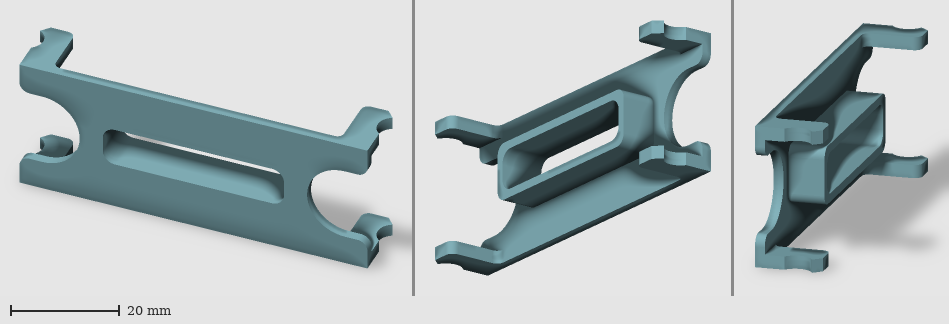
import cadquery as cq

overall_length = 70.0
depth = 12.75
height = 27.0

plate_length = 69.1
plate_thickness = 1.9

arm_width = 5.95
arm_thickness = 2.5
arm_corner_radius = 1.55
inner_fillet_radius = 1.3
hook_tip_y = 11.05
hook_top_inset = 1.5
groove_start_y = 5.7
groove_depth = 1.3

notch_width = 15.0
notch_depth = 12.0
notch_corner_radius = 2.0

slot_length = 36.0
slot_width = 7.9
slot_corner_radius = 2.45
collar_length = 39.0
collar_width = 11.1
collar_corner_radius = 2.0
collar_top_y = 8.8

tip_x = overall_length / 2
plate_end_x = plate_length / 2
arm_inner_x = plate_end_x - arm_width


def rounded_bar(length, width, corner_radius, top_y):
    """Bar with rounded corners, running along Y from the front face to top_y."""
    return (
        cq.Workplane("XZ")
        .rect(length, width)
        .extrude(-top_y)
        .edges("|Y")
        .fillet(corner_radius)
    )


def make_plate():
    return cq.Workplane("XY").box(plate_length, plate_thickness, height, centered=(True, False, True))


def make_arm():
    """Hooked arm at the +X end, flush with the bottom of the part."""
    groove_middle = (plate_end_x - groove_depth, (groove_start_y + hook_tip_y) / 2)
    foot_x = arm_inner_x - inner_fillet_radius
    foot_y = plate_thickness + inner_fillet_radius
    return (
        cq.Workplane("XY", origin=(0, 0, -height / 2))
        .moveTo(foot_x, 0)
        .lineTo(plate_end_x, 0)
        .lineTo(plate_end_x, groove_start_y)
        .threePointArc(groove_middle, (tip_x, hook_tip_y))
        .lineTo(tip_x - hook_top_inset, depth)
        .lineTo(arm_inner_x + arm_corner_radius, depth)
        .radiusArc((arm_inner_x, depth - arm_corner_radius), -arm_corner_radius)
        .lineTo(arm_inner_x, foot_y)
        .radiusArc((foot_x, plate_thickness), inner_fillet_radius)
        .close()
        .extrude(arm_thickness)
    )


def make_notch():
    """Cutter for the +X end: a round-ended channel with flared mouth corners."""
    half_width = notch_width / 2
    mouth_half_width = half_width + notch_corner_radius
    bottom_x = plate_end_x - notch_depth
    straight_end_x = bottom_x + half_width
    flare_x = plate_end_x - notch_corner_radius
    return (
        cq.Workplane("XZ")
        .moveTo(plate_end_x, mouth_half_width)
        .radiusArc((flare_x, half_width), notch_corner_radius)
        .lineTo(straight_end_x, half_width)
        .threePointArc((bottom_x, 0), (straight_end_x, -half_width))
        .lineTo(flare_x, -half_width)
        .radiusArc((plate_end_x, -mouth_half_width), notch_corner_radius)
        .close()
        .extrude(-plate_thickness)
    )


result = make_plate()

notch = make_notch()
result = result.cut(notch).cut(notch.mirror("YZ"))

lower_arm = make_arm()
for arm in (lower_arm, lower_arm.mirror("XY")):
    result = result.union(arm).union(arm.mirror("YZ"))

result = result.union(rounded_bar(collar_length, collar_width, collar_corner_radius, collar_top_y))
result = result.cut(rounded_bar(slot_length, slot_width, slot_corner_radius, collar_top_y))